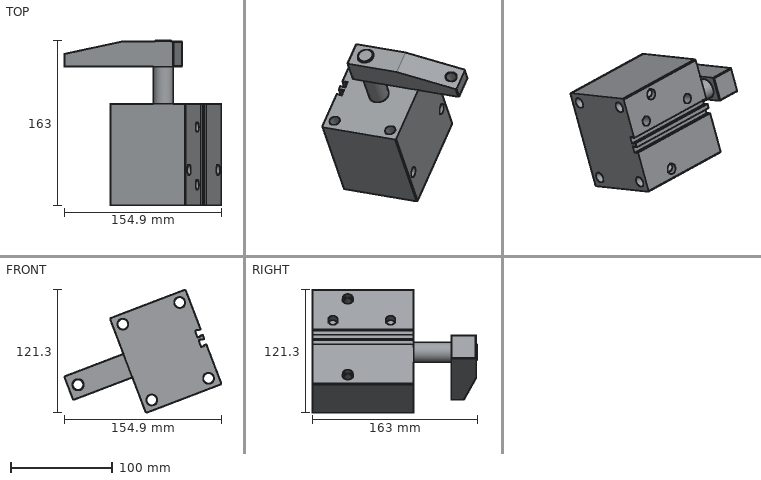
import cadquery as cq
TILT_ANGLE = 20.9

HOUSING_WIDTH = 80.0
HOUSING_HEIGHT = 100.1
HOUSING_DEPTH = 100.1
HOUSING_OFFSET = 2.6
CORNER_CHAMFER = 1.0

HOLE_DIAMETER = 10.5
HOLE_SPACING_X = 60.0
HOLE_SPACING_Z = 80.0

CROSS_HOLE_DIAMETER = 10.5
CROSS_HOLE_Y = 35.0

PORT_DIAMETER = 9.6
PORT_DEPTH = 12.0
PORT_Z = 17.5
PORT_Y_POSITIONS = (20.4, 77.3)

GROOVE_DEPTH = 5.7
GROOVE_PAIR_WIDTH = 17.0
RIB_THICKNESS = 3.1
LIP_DEPTH = 2.8
LIP_OVERHANG = 0.7

ROD_DIAMETER = 20.0
ROD_LENGTH = 36.8
SEAT_DIAMETER = 16.3
SEAT_PROTRUSION = 1.1
SEAT_CHAMFER = 1.0

ARM_THICKNESS = 25.0
ARM_WIDTH = 25.0
ARM_REACH = 100.0
ARM_BACK = 15.5
ARM_TIP_THICKNESS = 12.5
ARM_SLOPE_START = 38.0
ARM_EDGE_CHAMFER = 0.8
TIP_HOLE_DIAMETER = 10.3
TIP_HOLE_DISTANCE = 90.0
TIP_HOLE_CHAMFER = 0.5

HOUSING_RIGHT = HOUSING_OFFSET + HOUSING_WIDTH / 2
HOUSING_LEFT = HOUSING_OFFSET - HOUSING_WIDTH / 2
ARM_FRONT_Y = HOUSING_DEPTH + ROD_LENGTH
ARM_BACK_Y = ARM_FRONT_Y + ARM_THICKNESS


def cylinder_along_y(diameter, y_start, length, x=0, z=0):
    """Round bar parallel to Y, starting at y_start."""
    solid = cq.Solid.makeCylinder(diameter / 2, length, cq.Vector(x, y_start, z), cq.Vector(0, 1, 0))
    return cq.Workplane(solid)


def cylinder_along_x(diameter, x_start, length, y, z):
    """Round bar parallel to X, starting at x_start."""
    solid = cq.Solid.makeCylinder(diameter / 2, length, cq.Vector(x_start, y, z), cq.Vector(1, 0, 0))
    return cq.Workplane(solid)


def make_block():
    block = cq.Workplane("XY").box(HOUSING_WIDTH, HOUSING_DEPTH, HOUSING_HEIGHT)
    block = block.edges("|Y").chamfer(CORNER_CHAMFER)
    return block.translate((HOUSING_OFFSET, HOUSING_DEPTH / 2, 0))


def cut_mounting_holes(block):
    for side_x in (-1, 1):
        for side_z in (-1, 1):
            hole_x = HOUSING_OFFSET + side_x * HOLE_SPACING_X / 2
            hole_z = side_z * HOLE_SPACING_Z / 2
            block = block.cut(cylinder_along_y(HOLE_DIAMETER, 0, HOUSING_DEPTH, hole_x, hole_z))
    return block


def cut_cross_holes(block):
    for side_z in (-1, 1):
        hole_z = side_z * HOLE_SPACING_Z / 2
        hole = cylinder_along_x(CROSS_HOLE_DIAMETER, HOUSING_LEFT, HOUSING_WIDTH, CROSS_HOLE_Y, hole_z)
        block = block.cut(hole)
    return block


def cut_ports(block):
    port_start = HOUSING_RIGHT - PORT_DEPTH
    for port_y in PORT_Y_POSITIONS:
        block = block.cut(cylinder_along_x(PORT_DIAMETER, port_start, PORT_DEPTH, port_y, PORT_Z))
    return block


def cut_sensor_grooves(block):
    floor_width = (GROOVE_PAIR_WIDTH - RIB_THICKNESS) / 2
    mouth_width = floor_width - 2 * LIP_OVERHANG
    pocket_depth = GROOVE_DEPTH - LIP_DEPTH
    pocket = cq.Workplane("XY").box(pocket_depth, HOUSING_DEPTH, floor_width)
    pocket = pocket.translate((HOUSING_RIGHT - GROOVE_DEPTH + pocket_depth / 2, HOUSING_DEPTH / 2, 0))
    mouth = cq.Workplane("XY").box(GROOVE_DEPTH, HOUSING_DEPTH, mouth_width)
    mouth = mouth.translate((HOUSING_RIGHT - GROOVE_DEPTH / 2, HOUSING_DEPTH / 2, 0))
    groove = pocket.union(mouth)
    for side_z in (-1, 1):
        groove_z = side_z * (RIB_THICKNESS + floor_width) / 2
        block = block.cut(groove.translate((0, 0, groove_z)))
    return block


def make_housing():
    block = make_block()
    block = cut_mounting_holes(block)
    block = cut_cross_holes(block)
    block = cut_ports(block)
    return cut_sensor_grooves(block)


def make_rod():
    seat = cylinder_along_y(SEAT_DIAMETER, ARM_FRONT_Y, ARM_THICKNESS + SEAT_PROTRUSION)
    seat = seat.faces(">Y").chamfer(SEAT_CHAMFER)
    return cylinder_along_y(ROD_DIAMETER, HOUSING_DEPTH, ROD_LENGTH).union(seat)


def make_arm():
    side_outline = [
        (ARM_BACK, ARM_FRONT_Y),
        (ARM_BACK, ARM_BACK_Y),
        (-ARM_SLOPE_START, ARM_BACK_Y),
        (-ARM_REACH, ARM_FRONT_Y + ARM_TIP_THICKNESS),
        (-ARM_REACH, ARM_FRONT_Y),
    ]
    arm = cq.Workplane("XY").polyline(side_outline).close().extrude(ARM_WIDTH / 2, both=True)
    arm = arm.faces(">X").chamfer(ARM_EDGE_CHAMFER)
    arm = arm.faces("<X").edges("|Y").chamfer(ARM_EDGE_CHAMFER)
    arm = arm.cut(cylinder_along_y(TIP_HOLE_DIAMETER, ARM_FRONT_Y, ARM_THICKNESS, -TIP_HOLE_DISTANCE))
    arm = arm.edges("%CIRCLE or %ELLIPSE").chamfer(TIP_HOLE_CHAMFER)
    arm = arm.cut(cylinder_along_y(SEAT_DIAMETER, ARM_FRONT_Y, ARM_THICKNESS))
    return arm


def tilt(body):
    return body.rotate((0, 0, 0), (0, 1, 0), -TILT_ANGLE)


housing = tilt(make_housing())
rod = tilt(make_rod())
arm = tilt(make_arm())

result = cq.Compound.makeCompound([housing.val(), rod.val(), arm.val()])